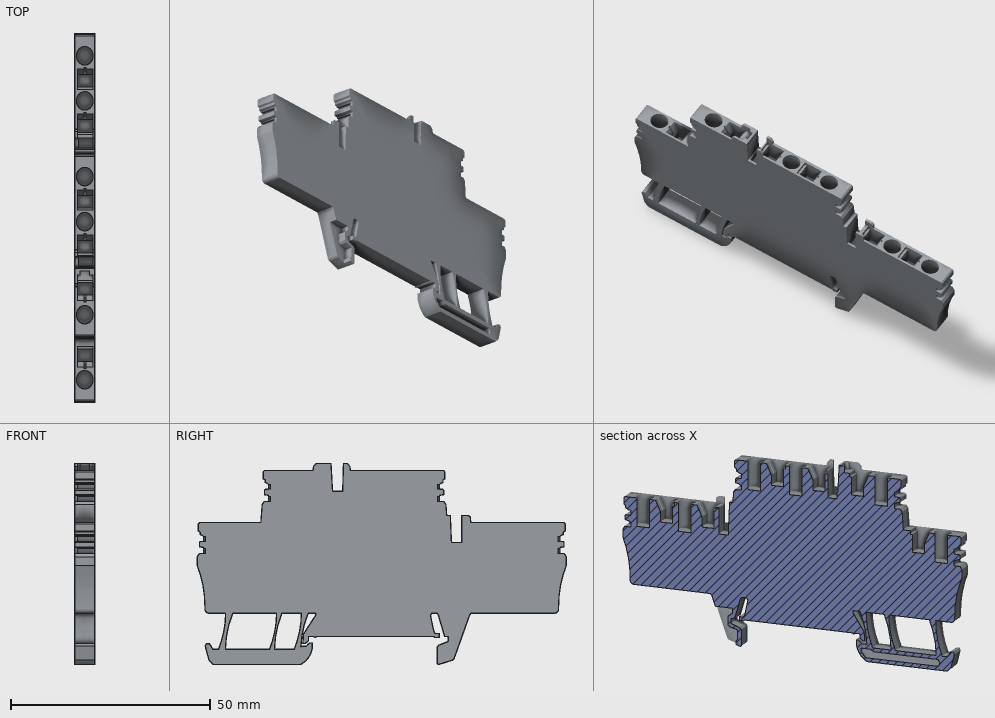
import cadquery as cq

THICKNESS = 5.1
HALF_LENGTH = 46.3
X_MIN = -THICKNESS / 2
X_MAX = THICKNESS / 2

BODY_BOTTOM = 12.9
LOWER_DECK = 35.65
UPPER_DECK = 48.7
BUMP_TOP = 50.5
LOWER_BUMP_TOP = 37.4
BASE_BOTTOM = 7.0
JOIN_OVERLAP = 0.6

UPPER_CENTER = -6.9
UPPER_HALF_LENGTH = 22.8
LOWER_LIP = HALF_LENGTH - 0.3

MARKER_GROOVES = ((3.2, 4.7), (6.3, 7.8))
GROOVE_DEPTH = 1.3
TOOTH_SETBACK = 0.3
UNDERCUT_DEPTH = 0.6
DECK_CHAMFER = 0.4
EDGE_CHAMFER = 0.3

POCKET_X_MIN = -1.85
POCKET_X_MAX = 2.0
POCKET_DEPTH = 5.6

TIER_SHIFT = 30.3
ENTRY_LENGTH = 4.6
ENTRY_WIDTH = 4.2
ENTRY_DEPTH = 7.4
ENTRY_PITCH = 11.3
OUTER_ENTRY = 40.65
PAIRED_ENTRIES = (OUTER_ENTRY, OUTER_ENTRY - ENTRY_PITCH)
LOWER_SINGLE_ENTRY = -40.6
UPPER_SINGLE_ENTRY = -24.3

POCKET_LENGTH = 5.1
OUTER_POCKET = 37.3
LOWER_SINGLE_POCKET = -37.3
UPPER_SINGLE_POCKET = -20.7
RAMP_RUN = 1.4
RAMP_DROP = 3.0
LEDGE_RUN = 0.6
LEDGE_DROP = 0.9
SLIT_WIDTH = 0.6
SLIT_REACH = 0.4

LOWER_SLOT_START = 20.0
LOWER_SLOT_END = 17.5
UPPER_SLOT_START = -9.8
LOWER_SLOT_FLOOR = 30.65
UPPER_SLOT_FLOOR = 43.5
SLOT_RECESS_X_MIN = -1.6
SLOT_RECESS_DEPTH = 1.85

GATE_HALF_WIDTH = 1.2
GATE_INNER = -14.3
GATE_OUTER = -13.2

RAIL_TOP = 3.9
FACE_RECESS_DEPTH = 2.0


def slab(points, x_min=X_MIN, x_max=X_MAX):
    """Extrude a closed YZ polygon from x_min to x_max."""
    return cq.Workplane("YZ").workplane(offset=x_min).polyline(points).close().extrude(x_max - x_min)


def block(x_min, x_max, y_min, y_max, z_min, z_max):
    """Axis-aligned box given by its limits."""
    size = (x_max - x_min, y_max - y_min, z_max - z_min)
    return cq.Workplane("XY").box(*size, centered=False).translate((x_min, y_min, z_min))


def toothed_end(deck, lip):
    """Tier end from the deck down to the last marker groove, as (distance from centre, z)."""
    (first_start, first_end), (second_start, second_end) = MARKER_GROOVES
    floor = lip - GROOVE_DEPTH
    tooth = lip - TOOTH_SETBACK
    lip_bottom = deck - 2.1
    under_lip = lip - 0.5
    return [
        (lip - DECK_CHAMFER, deck),
        (lip, deck - DECK_CHAMFER),
        (lip, lip_bottom),
        (under_lip, lip_bottom - EDGE_CHAMFER),
        (under_lip, deck - first_start + 0.2),
        (floor + EDGE_CHAMFER, deck - first_start),
        (floor, deck - first_start - EDGE_CHAMFER),
        (floor, deck - first_end),
        (tooth - EDGE_CHAMFER, deck - first_end),
        (tooth, deck - first_end - EDGE_CHAMFER),
        (tooth, deck - second_start + 0.2),
        (floor, deck - second_start),
        (floor, deck - second_end),
        (tooth, deck - second_end),
    ]


def lower_tier():
    bulge_top = 27.0
    bulge_bottom = 24.9
    waist = (44.4, 14.6)
    waist_mid = (44.8, 19.7)
    corner = 1.1
    end = toothed_end(LOWER_DECK, LOWER_LIP) + [(HALF_LENGTH, bulge_top), (HALF_LENGTH, bulge_bottom)]

    half = cq.Workplane("YZ").workplane(offset=X_MIN).moveTo(0, LOWER_DECK)
    for y, z in end:
        half = half.lineTo(y, z)
    half = (
        half.threePointArc(waist_mid, waist)
        .lineTo(waist[0], BODY_BOTTOM + corner)
        .tangentArcPoint((waist[0] - corner, BODY_BOTTOM), relative=False)
        .lineTo(0, BODY_BOTTOM)
        .close()
        .extrude(THICKNESS)
    )
    return half.union(half.mirror("XZ"))


def upper_tier():
    """Upper tier, its ends flaring out to a foot that sinks into the lower tier."""
    flare = UPPER_HALF_LENGTH + 0.3
    foot = UPPER_HALF_LENGTH + 0.65
    end = toothed_end(UPPER_DECK, UPPER_HALF_LENGTH) + [
        (flare, UPPER_DECK - 8.5),
        (foot, LOWER_DECK - JOIN_OVERLAP),
    ]
    left = [(UPPER_CENTER + y, z) for y, z in end]
    right = [(UPPER_CENTER - y, z) for y, z in reversed(end)]
    return slab(left + right)


def groove_undercuts(deck, center, lip):
    """Marker grooves run deeper beyond the thicker -X wall."""
    cuts = cq.Workplane("XY")
    reach = lip - GROOVE_DEPTH - UNDERCUT_DEPTH
    for start, end in MARKER_GROOVES:
        for y_min, y_max in ((reach, lip), (-lip, -reach)):
            z_min = deck - end
            z_max = deck - start - EDGE_CHAMFER
            cuts = cuts.add(block(POCKET_X_MIN, X_MAX, center + y_min, center + y_max, z_min, z_max))
    return cuts.combine()


def bumps():
    """Raised shoulders beside the bridge slots, plus the low step against the upper tier."""
    low = LOWER_DECK - JOIN_OVERLAP
    high = UPPER_DECK - JOIN_OVERLAP
    lower = slab([
        (LOWER_SLOT_START, low), (22.4, low), (22.2, LOWER_BUMP_TOP - 0.4), (21.7, LOWER_BUMP_TOP),
        (LOWER_SLOT_START, LOWER_BUMP_TOP),
    ])
    step = slab([(LOWER_SLOT_END, low), (15.7, low), (15.7, LOWER_BUMP_TOP), (17.2, LOWER_BUMP_TOP)])
    left = slab([
        (-9.7, high), (-7.8, high), (-8.0, BUMP_TOP - 0.7), (-8.7, BUMP_TOP), (-9.7, BUMP_TOP),
    ])
    right = slab([
        (-12.6, high), (-12.7, BUMP_TOP), (-16.4, BUMP_TOP), (-17.1, BUMP_TOP - 0.7), (-17.3, high),
    ])
    return lower.union(step).union(left).union(right)


def bridge_slots():
    """Tapered slots, each with a recess in its floor."""
    lower = slab([
        (LOWER_SLOT_START, LOWER_SLOT_FLOOR), (LOWER_SLOT_START, BUMP_TOP), (16.7, BUMP_TOP),
        (17.2, LOWER_BUMP_TOP), (LOWER_SLOT_END, LOWER_SLOT_FLOOR),
    ])
    upper = slab([
        (UPPER_SLOT_START, UPPER_SLOT_FLOOR), (-9.6, BUMP_TOP), (-12.7, BUMP_TOP), (-12.3, UPPER_SLOT_FLOOR),
    ])
    recesses = cq.Workplane("XY")
    for y_min, y_max, floor in (
        (LOWER_SLOT_END, LOWER_SLOT_START, LOWER_SLOT_FLOOR),
        (-12.0, UPPER_SLOT_START, UPPER_SLOT_FLOOR),
    ):
        recesses = recesses.add(
            block(SLOT_RECESS_X_MIN, POCKET_X_MAX, y_min, y_max, floor - SLOT_RECESS_DEPTH, floor)
        )
    return lower.union(upper).union(recesses.combine())


def wire_entry(y, deck):
    return (
        cq.Workplane("XY", origin=(0, y, deck - ENTRY_DEPTH))
        .ellipse(ENTRY_WIDTH / 2, ENTRY_LENGTH / 2)
        .extrude(ENTRY_DEPTH)
    )


def screwdriver_pocket(y, deck, direction):
    """Pocket with its ramp starting at y and running in direction (+1 or -1) along Y.

    The opening reaches up past the deck, so that it also clears any bump above it.
    """
    profile = [
        (0, BUMP_TOP),
        (0, deck),
        (RAMP_RUN, deck - RAMP_DROP),
        (RAMP_RUN, deck - POCKET_DEPTH),
        (POCKET_LENGTH - LEDGE_RUN, deck - POCKET_DEPTH),
        (POCKET_LENGTH - LEDGE_RUN, deck - LEDGE_DROP),
        (POCKET_LENGTH, deck - LEDGE_DROP),
        (POCKET_LENGTH, BUMP_TOP),
    ]
    pocket = slab([(y + direction * run, z) for run, z in profile], POCKET_X_MIN, POCKET_X_MAX)
    slit_ends = sorted((y - direction * SLIT_REACH, y + direction * RAMP_RUN))
    slit_x = (POCKET_X_MIN + POCKET_X_MAX) / 2
    slit = block(slit_x - SLIT_WIDTH / 2, slit_x + SLIT_WIDTH / 2, *slit_ends, deck - RAMP_DROP, deck)
    return pocket.union(slit)


def shoulder_clearance():
    """Lowers the walls between the bumps' flanks to deck level.

    Beyond the upper slot a cross wall stays standing, with a narrow gate through it.
    """
    lower_wall = (LOWER_SLOT_START, 23.15, LOWER_DECK)
    upper_wall = (UPPER_SLOT_START, -7.3, UPPER_DECK)
    shoulder = (-15.7, GATE_INNER, UPPER_DECK)
    cuts = block(-GATE_HALF_WIDTH, GATE_HALF_WIDTH, GATE_INNER, GATE_OUTER, UPPER_DECK, BUMP_TOP)
    for y_min, y_max, deck in (lower_wall, upper_wall, shoulder):
        cuts = cuts.union(block(POCKET_X_MIN, POCKET_X_MAX, y_min, y_max, deck, BUMP_TOP))
    return cuts


def base():
    """Trapezoid under the body, ending in the finger that sits in the rail foot's cup."""
    top = BODY_BOTTOM + JOIN_OVERLAP
    return slab([
        (12.6, top), (12.6, BODY_BOTTOM), (12.2, 12.4), (13.1, 8.4), (13.3, 7.9), (14.4, 7.9), (14.4, 6.8),
        (13.2, 6.8), (13.1, BASE_BOTTOM), (-16.3, BASE_BOTTOM), (-16.7, 6.8), (-17.0, BASE_BOTTOM),
        (-18.3, BASE_BOTTOM), (-18.3, 6.0), (-19.2, 5.3), (-19.8, 5.3), (-19.6, 7.7),
        (-16.6, 12.4), (-16.6, top),
    ])


def clip_foot():
    """Sprung clip hooking under the rail, its -X face recessed behind the hook's rim."""
    top = BODY_BOTTOM + JOIN_OVERLAP
    foot = slab([
        (22.4, top), (22.4, BODY_BOTTOM), (22.0, 12.4), (18.15, 1.5), (17.8, 1.1), (14.2, 0), (13.9, 0.3),
        (13.9, 4.4), (14.3, 4.9), (16.7, 5.8), (16.7, BASE_BOTTOM), (15.7, BASE_BOTTOM), (14.2, 12.4),
        (13.9, BODY_BOTTOM), (13.9, top),
    ])
    recess = slab([
        (22.2, 9.7), (16.4, 9.7), (16.4, 8.5), (17.7, 7.6), (17.7, 5.4), (17.2, 4.8), (15.0, 4.3),
        (15.0, 1.8), (15.5, 1.4), (15.5, -0.5), (22.2, -0.5),
    ], X_MIN, X_MIN + FACE_RECESS_DEPTH)
    return foot.cut(recess)


def rail_arm(y, extra):
    """Waisted arm from the body to the rail foot; y is its -Y edge at the top, extra its added thickness."""
    waist_z = 8.2
    right_waist = (y - 0.5, waist_z)
    right_foot = y - 1.8
    left_top = y + 1.4 + extra
    left_waist = (y + extra, waist_z)
    left_foot = y - 0.5 + extra
    return (
        cq.Workplane("YZ").workplane(offset=X_MIN)
        .moveTo(y, BODY_BOTTOM + JOIN_OVERLAP)
        .lineTo(y, BODY_BOTTOM)
        .threePointArc(right_waist, (right_foot, RAIL_TOP))
        .lineTo(right_foot, RAIL_TOP - JOIN_OVERLAP)
        .lineTo(left_foot, RAIL_TOP - JOIN_OVERLAP)
        .lineTo(left_foot, RAIL_TOP)
        .threePointArc(left_waist, (left_top, BODY_BOTTOM))
        .lineTo(left_top, BODY_BOTTOM + JOIN_OVERLAP)
        .close()
        .extrude(THICKNESS)
    )


def rail_foot():
    """Bar hung on three arms, with a cup at one end, a hook at the other and a groove in its -X face."""
    bar = (
        cq.Workplane("YZ").workplane(offset=X_MIN)
        .moveTo(-42.2, 0)
        .lineTo(-20.4, 0)
        .threePointArc((-18.4, 1.7), (-17.4, 4.1))
        .lineTo(-17.4, 5.5)
        .lineTo(-18.15, 5.5)
        .lineTo(-19.0, 4.6)
        .lineTo(-20.2, 4.6)
        .lineTo(-20.5, RAIL_TOP)
        .lineTo(-42.3, RAIL_TOP)
        .lineTo(-43.15, 5.3)
        .lineTo(-44.0, 5.3)
        .lineTo(-44.3, 4.6)
        .lineTo(-43.3, 1.1)
        .close()
        .extrude(THICKNESS)
    )
    for y, extra in ((-20.2, 0.4), (-26.4, 0), (-39.2, 0.5)):
        bar = bar.union(rail_arm(y, extra))
    groove = slab([
        (-18.8, 3.3), (-21.4, 3.3), (-22.2, 2.8), (-39.7, 2.8), (-40.0, 2.3), (-40.0, 1.5),
        (-39.7, 1.1), (-20.0, 1.1), (-18.8, 2.5),
    ], X_MIN, X_MIN + FACE_RECESS_DEPTH)
    return bar.cut(groove)


result = lower_tier().union(upper_tier()).union(bumps())
result = result.union(base()).union(clip_foot()).union(rail_foot())

result = result.cut(groove_undercuts(LOWER_DECK, 0, LOWER_LIP))
result = result.cut(groove_undercuts(UPPER_DECK, UPPER_CENTER, UPPER_HALF_LENGTH))
result = result.cut(bridge_slots()).cut(shoulder_clearance())

for tier_deck, shift in ((LOWER_DECK, 0), (UPPER_DECK, TIER_SHIFT)):
    for entry in PAIRED_ENTRIES:
        pocket_start = entry - OUTER_ENTRY + OUTER_POCKET
        result = result.cut(wire_entry(entry - shift, tier_deck))
        result = result.cut(screwdriver_pocket(pocket_start - shift, tier_deck, -1))
for tier_deck, entry, pocket_start in (
    (LOWER_DECK, LOWER_SINGLE_ENTRY, LOWER_SINGLE_POCKET),
    (UPPER_DECK, UPPER_SINGLE_ENTRY, UPPER_SINGLE_POCKET),
):
    result = result.cut(wire_entry(entry, tier_deck))
    result = result.cut(screwdriver_pocket(pocket_start, tier_deck, 1))